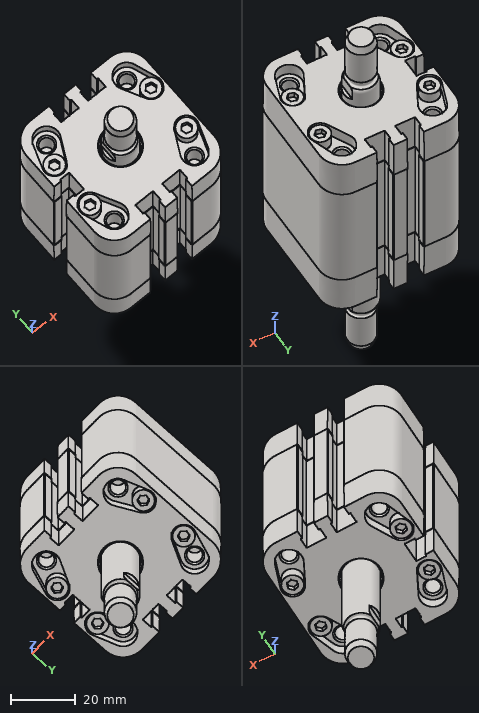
import cadquery as cq
import math


side = 49.0
corner_radius = 8.3
housing_length = 69.0
cap_length = 14.0
cap_draft = 0.6
barrel_length = housing_length - 2 * cap_length

slot_opening = 5.7
slot_inner_width = 7.1
slot_lip = 3.0
slot_depth = 6.5
slot_mouth_chamfer = 0.3
cap_slot_clearance = 0.1
slot_spacing = 10.9
slot_overrun = 1.5

bore_diameter = 12.5
mouth_diameter = 13.6
mouth_depth = 1.5
mouth_chamfer = 0.22

hole_spacing = 32.5
hole_diameter = 5.0
hole_chamfer = 0.6
pocket_hole_diameter = 9.0
pocket_depth = 4.5
screw_spacing_x = 39.2
screw_spacing_y = 17.1
screw_recess_diameter = 7.8
screw_head_diameter = 7.0
head_below_face = 0.5
socket_corners = 3.8
socket_depth = 2.0
socket_turn = 45.0

rod_diameter = 12.0
upper_overhang = 25.5
lower_overhang = 50.5
thread_diameter = 10.0
tip_diameter = 8.1
undercut_diameter = 8.3
undercut_fillet = 0.51
shoulder_round_radius = 2.0
shoulder_round_length = 1.5
flats_width = 10.0
flats_runout = 0.6

tip_cone_end = 2.8
thread_end = 16.0
shoulder_start = 18.8
flats_end = 23.5


def slot_tool(length, clearance, mouth_chamfer):
    """A T-slot open toward +Y and standing on Z = 0."""
    face = side / 2
    lip_bottom = face - slot_lip
    floor = face - slot_depth - clearance
    half_opening = slot_opening / 2 + clearance
    half_inner = slot_inner_width / 2
    tee = (
        cq.Workplane("XY")
        .moveTo(-half_opening, face + slot_overrun)
        .lineTo(-half_opening, lip_bottom)
        .lineTo(-half_inner, lip_bottom)
        .lineTo(-half_inner, floor)
        .lineTo(half_inner, floor)
        .lineTo(half_inner, lip_bottom)
        .lineTo(half_opening, lip_bottom)
        .lineTo(half_opening, face + slot_overrun)
        .close()
        .extrude(length)
    )
    if mouth_chamfer == 0:
        return tee
    bevel = (
        cq.Workplane("XY")
        .moveTo(-half_opening - mouth_chamfer, face)
        .lineTo(-half_opening, face - mouth_chamfer)
        .lineTo(half_opening, face - mouth_chamfer)
        .lineTo(half_opening + mouth_chamfer, face)
        .close()
        .extrude(length)
    )
    return tee.union(bevel)


def slotted_block(length, draft=0.0, clearance=0.0, mouth_chamfer=0.0):
    """The housing section with its five slots, standing on Z = 0, its sides leaning in by the draft."""
    outline = cq.Sketch().rect(side, side).vertices().fillet(corner_radius)
    block = cq.Workplane("XY").placeSketch(outline).extrude(length, taper=draft)
    slot = slot_tool(length, clearance, mouth_chamfer)
    for x in (-slot_spacing / 2, slot_spacing / 2):
        shifted = slot.translate((x, 0, 0))
        block = block.cut(shifted).cut(shifted.mirror("XZ"))
    return block.cut(slot.rotate((0, 0, 0), (0, 0, 1), 90))


def make_barrel():
    block = slotted_block(barrel_length, mouth_chamfer=slot_mouth_chamfer)
    bore = cq.Workplane("XY").circle(rod_diameter / 2).extrude(barrel_length)
    return block.cut(bore).translate((0, 0, -barrel_length / 2))


def disc(x, y, diameter, bottom, height):
    return cq.Workplane("XY", origin=(x, y, bottom)).circle(diameter / 2).extrude(height)


def tangent_web(start, start_radius, end, end_radius, bottom, height):
    """The straight-sided part of the hull of two circles, between their common tangents."""
    dx = end[0] - start[0]
    dy = end[1] - start[1]
    heading = math.atan2(dy, dx)
    spread = math.acos((start_radius - end_radius) / math.hypot(dx, dy))

    def rim(centre, radius, angle):
        return (centre[0] + radius * math.cos(angle), centre[1] + radius * math.sin(angle))

    corners = [
        rim(start, start_radius, heading + spread),
        rim(end, end_radius, heading + spread),
        rim(end, end_radius, heading - spread),
        rim(start, start_radius, heading - spread),
    ]
    return cq.Workplane("XY", origin=(0, 0, bottom)).polyline(corners).close().extrude(height)


def pocketed(cap, x_sign, y_sign):
    """The cap with one corner pocket, its hole and the screw head standing in it."""
    hole = (x_sign * hole_spacing / 2, y_sign * hole_spacing / 2)
    screw = (x_sign * screw_spacing_x / 2, y_sign * screw_spacing_y / 2)
    floor = cap_length - pocket_depth
    head_height = pocket_depth - head_below_face
    head_top = floor + head_height

    pocket = (
        disc(*hole, pocket_hole_diameter, floor, pocket_depth)
        .union(disc(*screw, screw_recess_diameter, floor, pocket_depth))
        .union(tangent_web(hole, pocket_hole_diameter / 2, screw, screw_recess_diameter / 2,
                           floor, pocket_depth))
    )
    threaded_hole = disc(*hole, hole_diameter, 0, floor)
    countersink = (
        cq.Workplane("XY", origin=(*hole, floor))
        .circle(hole_diameter / 2 + hole_chamfer)
        .extrude(-hole_chamfer, taper=45)
    )
    socket = (
        cq.Workplane("XY")
        .polygon(6, socket_corners)
        .extrude(socket_depth)
        .rotate((0, 0, 0), (0, 0, 1), socket_turn)
        .translate((*screw, head_top - socket_depth))
    )
    head = disc(*screw, screw_head_diameter, floor, head_height).cut(socket)
    return cap.cut(pocket).cut(threaded_hole).cut(countersink).union(head)


def make_upper_cap():
    cap = slotted_block(cap_length, draft=cap_draft, clearance=cap_slot_clearance)
    for x_sign in (-1, 1):
        for y_sign in (-1, 1):
            cap = pocketed(cap, x_sign, y_sign)
    bore_radius = bore_diameter / 2
    mouth_radius = mouth_diameter / 2
    bore = (
        cq.Workplane("XZ")
        .moveTo(0, 0)
        .lineTo(bore_radius, 0)
        .lineTo(bore_radius, cap_length - mouth_depth)
        .lineTo(mouth_radius, cap_length - mouth_depth)
        .lineTo(mouth_radius, cap_length - mouth_chamfer)
        .lineTo(mouth_radius + mouth_chamfer, cap_length)
        .lineTo(0, cap_length)
        .close()
        .revolve(360, (0, 0), (0, 1))
    )
    return cap.cut(bore).translate((0, 0, barrel_length / 2))


def rod_half(length):
    """The rod from Z = 0 up to one threaded end at Z = length."""
    rod_radius = rod_diameter / 2
    thread_radius = thread_diameter / 2
    undercut_radius = undercut_diameter / 2
    shoulder = length - shoulder_start
    round_inset = shoulder_round_radius - math.sqrt(shoulder_round_radius**2 - shoulder_round_length**2)
    shoulder_radius = rod_radius - round_inset
    thread_bottom = length - thread_end
    fillet_mid = 1 - math.sqrt(0.5)
    profile = (
        cq.Workplane("XZ")
        .moveTo(0, 0)
        .lineTo(rod_radius, 0)
        .lineTo(rod_radius, shoulder - shoulder_round_length)
        .tangentArcPoint((shoulder_radius, shoulder), relative=False)
        .lineTo(undercut_radius + undercut_fillet, shoulder)
        .threePointArc(
            (undercut_radius + undercut_fillet * fillet_mid, shoulder + undercut_fillet * fillet_mid),
            (undercut_radius, shoulder + undercut_fillet),
        )
        .lineTo(undercut_radius, thread_bottom - undercut_fillet)
        .threePointArc(
            (undercut_radius + undercut_fillet * fillet_mid, thread_bottom - undercut_fillet * fillet_mid),
            (undercut_radius + undercut_fillet, thread_bottom),
        )
        .lineTo(thread_radius, thread_bottom)
        .lineTo(thread_radius, length - tip_cone_end)
        .lineTo(tip_diameter / 2, length)
        .lineTo(0, length)
        .close()
    )
    rod = profile.revolve(360, (0, 0), (0, 1))

    flat = (
        cq.Workplane("XZ")
        .moveTo(flats_width / 2, shoulder)
        .lineTo(flats_width / 2, length - flats_end)
        .lineTo(rod_radius, length - flats_end - flats_runout)
        .lineTo(rod_radius, shoulder)
        .close()
        .extrude(rod_diameter, both=True)
    )
    return rod.cut(flat).cut(flat.mirror("YZ"))


def make_rod():
    upper = rod_half(housing_length / 2 + upper_overhang)
    lower = rod_half(housing_length / 2 + lower_overhang).mirror("XY")
    return upper.union(lower)


barrel = make_barrel()
upper_cap = make_upper_cap()
lower_cap = upper_cap.mirror("XY")
rod = make_rod()

result = cq.Compound.makeCompound([barrel.val(), upper_cap.val(), lower_cap.val(), rod.val()])